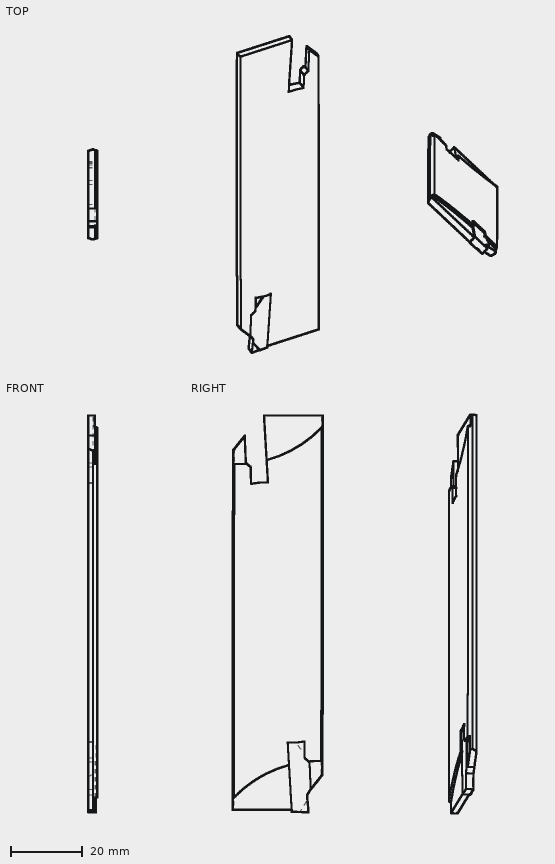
import cadquery as cq
import math

total_length = 110.8
insert_overhang = 0.8
blade_length = total_length - insert_overhang
blade_width = 25.3
thickness = 2.5
half_length = blade_length / 2
half_width = blade_width / 2
half_thickness = thickness / 2

bevel_depth = 0.4
edge_relief = 0.1
relief_start = 29.4
relief_full = 25.7

seat_wall_top = (-3.9, 0.0)
seat_wall_bottom = (-2.8, 18.7)
seat_floor_bend = (-5.1, 18.7)
seat_floor_corner = (-7.4, 19.1)
seat_step_inner = (-7.5, 14.4)
seat_step_outer = (-8.9, 13.3)
jaw_tip = (-9.2, 5.7)
jaw_shoulder = (-half_width, 10.0)

thin_blade = 1.9
recess_radius = 33.2
recess_depth = 13.6
recess_center_y = -11.7

insert_thickness = 2.2
insert_heel = (seat_wall_top[0], -0.5)
insert_cutting_corner = (-8.6, -insert_overhang)
insert_neck = (-8.2, 4.1)
facet_depth = 0.1
outer_facet = [(-6.2, -0.7), insert_cutting_corner, (-8.3, 2.9)]
inner_facet = [seat_floor_bend, seat_floor_corner, (-7.4, 15.5)]


def upper_end(points):
    """Turn (Y, depth) points into YZ points at the upper end of the blade."""
    return [(y, half_length - depth) for y, depth in points]


def half_turn(body):
    """Turn a body by 180 degrees about the X axis, from the upper end to the lower."""
    return body.rotate((0, 0, 0), (1, 0, 0), 180)


def plate(points, x_start, depth):
    """Extrude a YZ outline along +X."""
    return cq.Workplane("YZ", origin=(x_start, 0, 0)).polyline(points).close().extrude(depth)


def section_wire(z, relief_low, relief_high):
    """Hexagonal blade section whose long edges come to a point."""
    low = -half_width + relief_low
    high = half_width - relief_high
    points = [
        (-half_thickness, low + bevel_depth),
        (0, low),
        (half_thickness, low + bevel_depth),
        (half_thickness, high - bevel_depth),
        (0, high),
        (-half_thickness, high - bevel_depth),
    ]
    return cq.Wire.makePolygon([cq.Vector(x, y, z) for x, y in points], close=True)


def blade_bar():
    """Bar with V edges; each jaw edge is set back slightly near its own end."""
    start = half_length - relief_start
    full = half_length - relief_full
    sections = [
        section_wire(-half_length, 0, edge_relief),
        section_wire(-full, 0, edge_relief),
        section_wire(-start, 0, 0),
        section_wire(start, 0, 0),
        section_wire(full, edge_relief, 0),
        section_wire(half_length, edge_relief, 0),
    ]
    return cq.Workplane(cq.Solid.makeLoft(sections, True))


def seat_cutter():
    """Insert seat together with the open space above the pointed jaw."""
    outline = [
        seat_wall_top,
        seat_wall_bottom,
        seat_floor_bend,
        seat_floor_corner,
        seat_step_inner,
        seat_step_outer,
        jaw_tip,
        jaw_shoulder,
        (-half_width, 0),
    ]
    return plate(upper_end(outline), -half_thickness, thickness)


def recess_cutter():
    """Shallow recess on the +X face, bounded below by a large arc."""
    center_z = half_length - recess_depth + recess_radius

    def arc_point(y):
        return (y, center_z - math.sqrt(recess_radius**2 - (y - recess_center_y)**2))

    return (
        cq.Workplane("YZ", origin=(thin_blade - half_thickness, 0, 0))
        .moveTo(*arc_point(-half_width))
        .threePointArc(arc_point(0), arc_point(half_width))
        .lineTo(half_width, half_length)
        .lineTo(-half_width, half_length)
        .close()
        .extrude(thickness - thin_blade)
    )


def make_blade():
    end_cuts = [seat_cutter(), recess_cutter()]
    body = blade_bar()
    for cutter in end_cuts:
        body = body.cut(cutter).cut(half_turn(cutter))
    return body


def make_insert():
    """Double-ended insert filling the lower seat, flush with the -X face."""
    outline = [
        insert_heel,
        seat_wall_top,
        seat_wall_bottom,
        seat_floor_bend,
        seat_floor_corner,
        seat_step_inner,
        seat_step_outer,
        jaw_tip,
        insert_neck,
        insert_cutting_corner,
    ]
    body = plate(upper_end(outline), -half_thickness, insert_thickness)
    for facet in (outer_facet, inner_facet):
        body = body.cut(plate(upper_end(facet), -half_thickness, facet_depth))
    return half_turn(body)


blade = make_blade()
insert = make_insert()
result = cq.Compound.makeCompound([blade.solids().val(), insert.solids().val()])